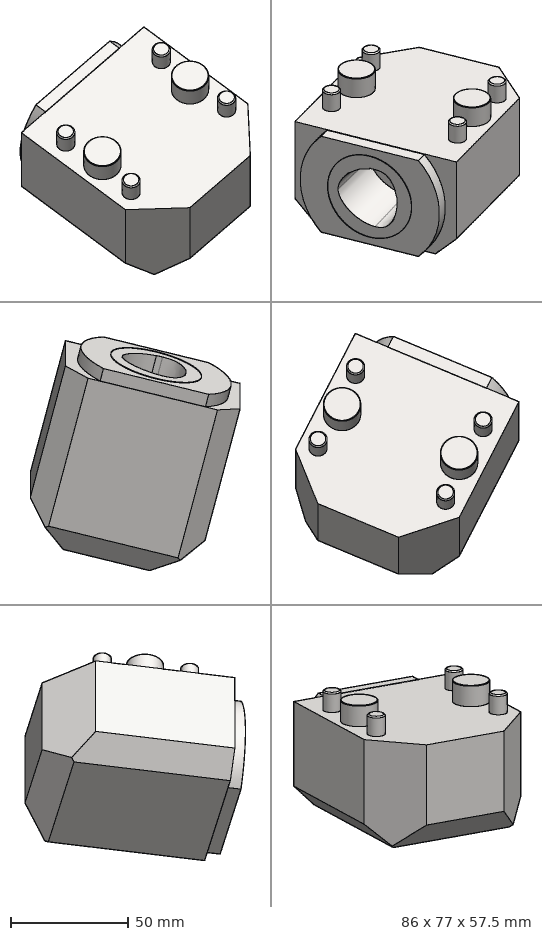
import cadquery as cq
import math


BODY_LENGTH = 80.0
BODY_WIDTH = 77.0
BODY_HEIGHT = 48.0
BOTTOM_SIDE_CHAMFER = 10.0
REAR_SIDE_CHAMFER = 19.5
REAR_BOTTOM_CHAMFER = 12.0

COLLAR_DIAMETER = 40.0
COLLAR_THICKNESS = 0.3
FLANGE_DIAMETER = 66.3
FLANGE_THICKNESS = 5.7
FLANGE_FLAT_INSET = 0.3

BORE_WIDTH = 28.1
BORE_LOBE_HEIGHT = 0.92
BORE_DEPTH = 29.0
BORE_TAPER = 1 / 20
QUARTER_OUTLINE_SPANS = 9

KEY_DIAMETER = 2.5
KEY_LENGTH = 4.0
KEY_TIP_Y = -11.7
KEY_X = 27.5

DOWEL_DIAMETER = 16.01
DOWEL_HEIGHT = 9.5
DOWEL_CHAMFER = 0.3
DOWEL_Y = 27.5
DOWEL_FROM_BODY_FRONT = 37.0
SCREW_DIAMETER = 7.76
SCREW_HEIGHT = 8.9
SCREW_CHAMFER = 0.6
SCREW_Y = 30.0
SCREW_SPACING = 38.0

BODY_FRONT = COLLAR_THICKNESS + FLANGE_THICKNESS
BODY_REAR = BODY_FRONT + BODY_LENGTH
BODY_TOP = BODY_HEIGHT / 2
DOWEL_X = BODY_FRONT + DOWEL_FROM_BODY_FRONT


def make_body():
    body = cq.Workplane("XY").box(BODY_LENGTH, BODY_WIDTH, BODY_HEIGHT)
    body = body.translate(((BODY_FRONT + BODY_REAR) / 2, 0, 0))
    half_width = BODY_WIDTH / 2
    for side in (1, -1):
        bottom_corner = (
            cq.Workplane("YZ", origin=(BODY_FRONT, 0, 0))
            .moveTo(side * half_width, -BODY_TOP)
            .lineTo(side * half_width, -BODY_TOP + BOTTOM_SIDE_CHAMFER)
            .lineTo(side * (half_width - BOTTOM_SIDE_CHAMFER), -BODY_TOP)
            .close()
            .extrude(BODY_LENGTH)
        )
        rear_corner = (
            cq.Workplane("XY", origin=(0, 0, -BODY_TOP))
            .moveTo(BODY_REAR, side * half_width)
            .lineTo(BODY_REAR - REAR_SIDE_CHAMFER, side * half_width)
            .lineTo(BODY_REAR, side * (half_width - REAR_SIDE_CHAMFER))
            .close()
            .extrude(BODY_HEIGHT)
        )
        body = body.cut(bottom_corner).cut(rear_corner)
    rear_bottom_corner = (
        cq.Workplane("XZ")
        .moveTo(BODY_REAR, -BODY_TOP)
        .lineTo(BODY_REAR - REAR_BOTTOM_CHAMFER, -BODY_TOP)
        .lineTo(BODY_REAR, -BODY_TOP + REAR_BOTTOM_CHAMFER)
        .close()
        .extrude(half_width, both=True)
    )
    return body.cut(rear_bottom_corner)


def make_flange():
    disc = (
        cq.Workplane("YZ", origin=(COLLAR_THICKNESS, 0, 0))
        .circle(FLANGE_DIAMETER / 2)
        .extrude(FLANGE_THICKNESS)
    )
    flat_to_flat = (
        cq.Workplane("YZ", origin=(COLLAR_THICKNESS, 0, 0))
        .rect(FLANGE_DIAMETER, BODY_HEIGHT - 2 * FLANGE_FLAT_INSET)
        .extrude(FLANGE_THICKNESS)
    )
    collar = cq.Workplane("YZ").circle(COLLAR_DIAMETER / 2).extrude(COLLAR_THICKNESS)
    return disc.intersect(flat_to_flat).union(collar)


def trilobe_point(width, angle):
    """Point (y, z) of a constant-width trilobe whose outward normal is at the given angle."""
    support = width / 2 + BORE_LOBE_HEIGHT * math.cos(3 * angle)
    slope = -3 * BORE_LOBE_HEIGHT * math.sin(3 * angle)
    y = support * math.cos(angle) - slope * math.sin(angle)
    z = support * math.sin(angle) + slope * math.cos(angle)
    return (y, z)


def tangent(angle):
    """Direction of the trilobe outline where its outward normal is at the given angle."""
    return (-math.sin(angle), math.cos(angle))


def add_trilobe(plane, width):
    """Draw the trilobe, one lobe toward +Y, as four smooth quarters."""
    quarter = math.pi / 2
    step = quarter / QUARTER_OUTLINE_SPANS
    outline = plane.moveTo(*trilobe_point(width, 0))
    for index in range(4):
        start = index * quarter
        points = [trilobe_point(width, start + count * step) for count in range(1, QUARTER_OUTLINE_SPANS + 1)]
        end_tangents = [tangent(start), tangent(start + quarter)]
        outline = outline.spline(points, tangents=end_tangents, includeCurrent=True)
    return outline.close()


def make_bore():
    floor_width = BORE_WIDTH - BORE_DEPTH * BORE_TAPER
    mouth = add_trilobe(cq.Workplane("YZ"), BORE_WIDTH)
    return add_trilobe(mouth.workplane(offset=BORE_DEPTH), floor_width).loft(combine=True)


def make_key():
    """Round pin that sticks out of the bore wall opposite the +Y lobe."""
    return (
        cq.Workplane("XZ", origin=(KEY_X, KEY_TIP_Y, 0))
        .circle(KEY_DIAMETER / 2)
        .extrude(KEY_LENGTH)
    )


def make_pin(diameter, height, chamfer, x, y):
    return (
        cq.Workplane("XY", origin=(x, y, BODY_TOP))
        .circle(diameter / 2)
        .extrude(height)
        .faces(">Z")
        .chamfer(chamfer)
    )


result = make_body().union(make_flange()).cut(make_bore()).union(make_key())
for side in (1, -1):
    dowel = make_pin(DOWEL_DIAMETER, DOWEL_HEIGHT, DOWEL_CHAMFER, DOWEL_X, side * DOWEL_Y)
    result = result.union(dowel)
    for end in (1, -1):
        screw_x = DOWEL_X + end * SCREW_SPACING / 2
        screw = make_pin(SCREW_DIAMETER, SCREW_HEIGHT, SCREW_CHAMFER, screw_x, side * SCREW_Y)
        result = result.union(screw)